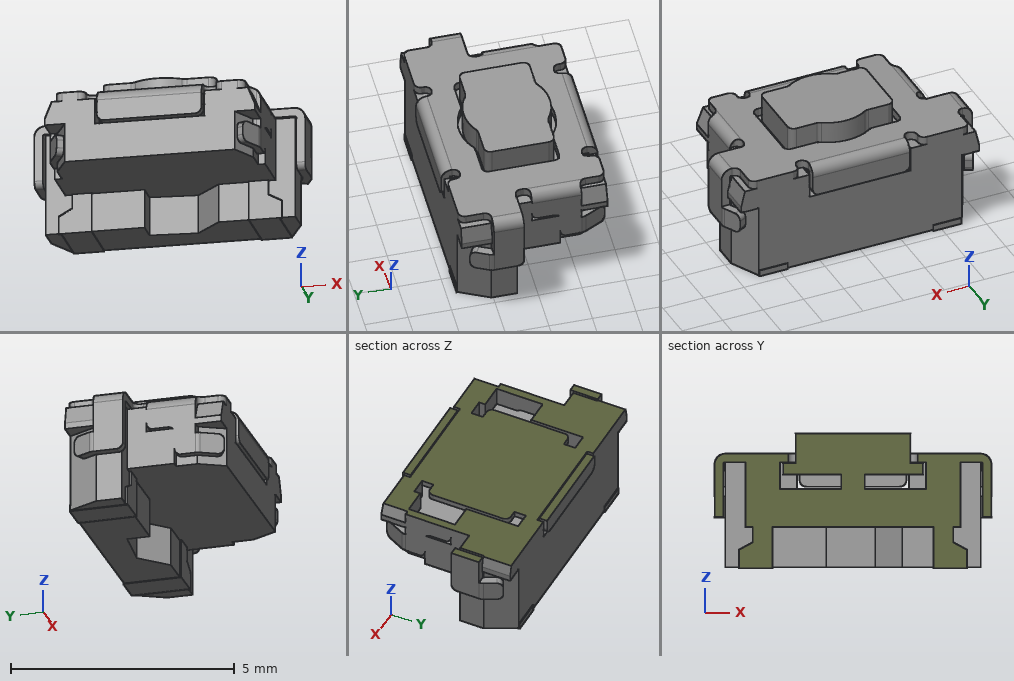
import cadquery as cq
import math


base_bottom = 0.02
body_bottom = 0.92
recess_top = 1.82
cavity_floor = 1.775
body_top = 2.37
sheet = 0.2
cover_top = body_top + sheet
button_top = 3.02
flange_bottom = 2.095
flange_top = 2.35

body_half_x = 2.405
body_half_y = 1.74
wing_half_x = 2.86
wing_front = 0.445
facet_angle = 26.5
facet_slope = math.tan(math.radians(facet_angle))

block_slope_bottom = 1.97
front_block_top_x = 2.245
rear_block_top_x = 2.85
rear_block_x = 2.945

bend_radius = 0.25
bend_inner_radius = bend_radius - sheet
corner_radius = 0.15
cover_front_x = body_half_x - bend_radius

wing_tab_x = 3.1
wing_tab_front = 0.35
wing_tab_rear = 1.04
wing_tab_bottom = 1.13
wing_root_x = wing_tab_x - bend_radius
cover_rear_x = wing_root_x - corner_radius

side_tab_front = -1.14
side_tab_rear = 0.0
leg_rear = -0.65
leg_recess_x = 2.245

overall_depth = 3.6
end_tab_y = overall_depth / 2
end_tab_half_width = 1.195
end_tab_bottom = recess_top
end_slot_half_width = 1.25

tang_top = 1.61
tang_bend_radius = 0.225
front_tang_length = 0.56
rear_tang_length = 0.445

button_half_x = 1.29
button_half_y = 0.805
button_radius = 0.99
button_blend_radius = 0.2
opening_half_x = 1.445
opening_half_y = 0.89
opening_radius = 1.105
flange_overlap = 0.125
guide_half_y = 1.595
stem_diameter = 1.0
cavity_clearance = 0.06

terminal_inner_x = 1.8
terminal_neck_x = 2.245
terminal_foot_x = 2.555
terminal_rear_x = 2.5
terminal_foot_top = 0.415
terminal_neck_bottom = 0.58
terminal_front = 0.4
terminal_rear = 1.76
terminal_lip_top = 0.155

notch_left_x = -0.595
notch_bottom_x = 0.5
notch_right_x = 1.105
notch_left_depth = 0.53
notch_right_depth = 0.62


def block(x0, x1, y0, y1, z0, z1):
    return cq.Workplane("XY").box(x1 - x0, y1 - y0, z1 - z0, centered=False).translate((x0, y0, z0))


def prism(points, z0, z1):
    return cq.Workplane("XY").workplane(offset=z0).polyline(points).close().extrude(z1 - z0)


def along_y(profile, y0, y1):
    """Extrude a closed XZ profile from y0 to y1."""
    return profile.extrude(y0 - y1).translate((0, y0, 0))


def both_sides(half):
    return half.union(half.mirror("YZ"))


def fillet_at(solid, direction, points, radius):
    """Round the edges parallel to the given axis that lie nearest to the points."""
    for point in points:
        edge = cq.selectors.NearestToPointSelector(point)
        solid = solid.edges(direction).edges(edge).fillet(radius)
    return solid


def corner_block(top_x, outer_x, y0, y1):
    profile = cq.Workplane("XZ").polyline([
        (0, recess_top),
        (outer_x, recess_top),
        (outer_x, block_slope_bottom),
        (top_x, body_top),
        (0, body_top),
    ]).close()
    return along_y(profile, y0, y1)


def half_body():
    rear_facet_x = wing_half_x - (body_half_y - wing_tab_rear) * facet_slope
    front_facet_x = leg_recess_x - (body_half_y + side_tab_front) * facet_slope
    wing = [
        (wing_half_x, wing_front),
        (wing_half_x, wing_tab_rear),
        (rear_facet_x, body_half_y),
        (0, body_half_y),
    ]
    base = prism([(0, wing_front)] + wing, base_bottom, body_bottom)
    middle = prism([
        (0, -body_half_y),
        (front_facet_x, -body_half_y),
        (leg_recess_x, side_tab_front),
        (leg_recess_x, leg_rear),
        (body_half_x, leg_rear),
        (body_half_x, wing_front),
    ] + wing, body_bottom, recess_top)
    upper = block(0, body_half_x, side_tab_front, wing_front, recess_top, body_top)
    upper_wing = block(0, wing_half_x, wing_front, wing_tab_rear, recess_top, body_top)
    front_block = corner_block(front_block_top_x, body_half_x, -body_half_y, side_tab_front)
    rear_block = corner_block(rear_block_top_x, rear_block_x, wing_tab_rear, body_half_y)
    return base.union(middle).union(upper).union(upper_wing).union(front_block).union(rear_block)


def make_body():
    body = both_sides(half_body())
    flange_x = opening_half_x + flange_overlap + cavity_clearance
    flange_y = opening_radius + flange_overlap + cavity_clearance
    pockets = [
        (flange_x, -flange_y, flange_y),
        (end_slot_half_width, -body_half_y, body_half_y),
        (body_half_x, side_tab_front, side_tab_rear),
    ]
    for half_x, y0, y1 in pockets:
        body = body.cut(block(-half_x, half_x, y0, y1, cavity_floor, body_top))
    notch = prism([
        (notch_left_x, wing_front),
        (notch_left_x, wing_front + notch_left_depth),
        (notch_bottom_x, wing_front + notch_right_depth),
        (notch_right_x, wing_front),
    ], base_bottom, body_bottom)
    return body.cut(notch)


def half_terminal():
    front = cq.Workplane("XZ").polyline([
        (terminal_inner_x, 0),
        (terminal_foot_x, 0),
        (terminal_foot_x, terminal_foot_top),
        (terminal_neck_x, terminal_neck_bottom),
        (terminal_neck_x, body_bottom),
        (terminal_inner_x, body_bottom),
    ]).close()
    sole = block(terminal_inner_x, terminal_rear_x, wing_front, body_half_y, 0, base_bottom)
    lip = block(terminal_inner_x, terminal_rear_x, body_half_y, terminal_rear, 0, terminal_lip_top)
    return along_y(front, terminal_front, wing_front).union(sole).union(lip)


def bent_tab(reach, y0, y1, bottom):
    """Strip that leaves the cover toward +X and bends down, with its outer face at X = reach."""
    root = reach - bend_radius
    inner = reach - sheet
    diagonal = math.sqrt(0.5)
    bend_z = cover_top - bend_radius
    profile = (
        cq.Workplane("XZ")
        .moveTo(root, cover_top)
        .threePointArc((root + bend_radius * diagonal, bend_z + bend_radius * diagonal), (reach, bend_z))
        .lineTo(reach, bottom)
        .lineTo(inner, bottom)
        .lineTo(inner, bend_z)
        .threePointArc(
            (root + bend_inner_radius * diagonal, bend_z + bend_inner_radius * diagonal),
            (root, body_top),
        )
        .close()
    )
    return along_y(profile, y0, y1)


def tang(outer_x, tab_edge, direction, length):
    """Finger that leaves a tab edge along Y (direction is +1 or -1) and turns inward."""
    end_face = ">Y" if direction > 0 else "<Y"
    height = tang_top - wing_tab_bottom
    angle = math.radians(facet_angle)
    pivot_x = outer_x - tang_bend_radius

    def on_bend(radius, turn):
        return (pivot_x + radius * math.cos(turn), tab_edge + direction * radius * math.sin(turn))

    inner_radius = tang_bend_radius - sheet
    bend_end = on_bend(tang_bend_radius, angle)
    bend = (
        cq.Workplane("XY")
        .workplane(offset=wing_tab_bottom)
        .moveTo(*on_bend(tang_bend_radius, 0))
        .threePointArc(on_bend(tang_bend_radius, angle / 2), bend_end)
        .lineTo(*on_bend(inner_radius, angle))
        .threePointArc(on_bend(inner_radius, angle / 2), on_bend(inner_radius, 0))
        .close()
        .extrude(height)
    )
    finger = (
        cq.Workplane("XY")
        .box(sheet, length, height)
        .faces(end_face).edges("|X").fillet(corner_radius)
        .translate((-sheet / 2, direction * length / 2, wing_tab_bottom + height / 2))
        .rotate((0, 0, 0), (0, 0, 1), direction * facet_angle)
        .translate((bend_end[0], bend_end[1], 0))
    )
    return bend.union(finger)


def wing_tab():
    tab = bent_tab(wing_tab_x, wing_tab_front, wing_tab_rear, wing_tab_bottom)
    tab = fillet_at(tab, "|X", [(wing_tab_x, wing_tab_front, wing_tab_bottom)], corner_radius)
    return tab.union(tang(wing_tab_x, wing_tab_rear, 1, rear_tang_length))


def side_tab():
    tab = bent_tab(body_half_x, side_tab_front, side_tab_rear, recess_top)
    leg = block(body_half_x - sheet, body_half_x, side_tab_front, leg_rear, wing_tab_bottom, recess_top)
    tab = fillet_at(tab.union(leg), "|X", [
        (body_half_x, side_tab_rear, recess_top),
        (body_half_x, leg_rear, recess_top),
        (body_half_x, leg_rear, wing_tab_bottom),
    ], corner_radius)
    for edge, direction in [(side_tab_front, -1), (side_tab_rear, 1)]:
        tab = tab.union(root_blend(edge, direction))
    return tab.union(tang(body_half_x, side_tab_front, -1, front_tang_length))


def root_blend(edge, direction):
    """Concave corner between the cover edge and an edge of the side tab, carried down the tab."""
    far = edge + direction * corner_radius
    y0 = min(edge, far)
    y1 = max(edge, far)
    far_x = cover_front_x + corner_radius
    strip = bent_tab(body_half_x, y0, y1, tang_top)
    corner = block(cover_front_x, far_x, y0, y1, tang_top, cover_top)
    round_cut = (
        cq.Workplane("XY")
        .workplane(offset=tang_top)
        .center(far_x, far)
        .circle(corner_radius)
        .extrude(cover_top - tang_top)
    )
    return strip.intersect(corner).cut(round_cut)


def end_tab():
    """Tab over the -Y end."""
    tab = bent_tab(end_tab_y, -end_tab_half_width, end_tab_half_width, end_tab_bottom)
    tab = tab.faces("<Z").edges("|X").fillet(corner_radius)
    return tab.rotate((0, 0, 0), (0, 0, 1), -90)


def half_cover_plate():
    end_y = end_tab_y - bend_radius
    notch_outer_x = end_tab_half_width + 2 * corner_radius
    notch_x = end_tab_half_width + corner_radius
    notch_y = end_y - corner_radius
    plate = (
        cq.Workplane("XY")
        .workplane(offset=body_top)
        .moveTo(0, end_y)
        .lineTo(end_tab_half_width, end_y)
        .threePointArc((notch_x, notch_y), (notch_outer_x, end_y))
        .lineTo(notch_outer_x, body_half_y)
        .lineTo(cover_rear_x, body_half_y)
        .lineTo(cover_rear_x, wing_tab_rear + corner_radius)
        .radiusArc((wing_root_x, wing_tab_rear), -corner_radius)
        .lineTo(wing_root_x, wing_tab_front)
        .lineTo(cover_front_x, wing_tab_front)
        .lineTo(cover_front_x, -body_half_y)
        .lineTo(notch_outer_x, -body_half_y)
        .lineTo(notch_outer_x, -end_y)
        .threePointArc((notch_x, -notch_y), (end_tab_half_width, -end_y))
        .lineTo(0, -end_y)
        .close()
        .extrude(sheet)
    )
    return fillet_at(plate, "|Z", [
        (notch_outer_x, body_half_y, body_top),
        (cover_rear_x, body_half_y, body_top),
        (cover_front_x, wing_tab_front, body_top),
        (cover_front_x, -body_half_y, body_top),
        (notch_outer_x, -body_half_y, body_top),
    ], corner_radius)


def lobed_block(half_x, half_y, radius, corner, z0, z1):
    """Rounded rectangle joined with a disc that bulges out of its long sides."""
    rectangle = block(-half_x, half_x, -half_y, half_y, z0, z1).edges("|Z").fillet(corner)
    disc = cq.Workplane("XY").workplane(offset=z0).circle(radius).extrude(z1 - z0)
    return rectangle.union(disc)


def make_cover():
    cover = both_sides(half_cover_plate().union(wing_tab()).union(side_tab()))
    front_tab = end_tab()
    cover = cover.union(front_tab).union(front_tab.mirror("XZ"))
    opening = lobed_block(
        opening_half_x, opening_half_y, opening_radius, corner_radius, body_top, cover_top
    )
    return cover.cut(opening)


def make_button():
    cap = lobed_block(
        button_half_x, button_half_y, button_radius, corner_radius, flange_top, button_top
    )
    lobe_x = math.sqrt(button_radius**2 - button_half_y**2)
    blends = [(sx * lobe_x, sy * button_half_y, flange_top) for sx in (-1, 1) for sy in (-1, 1)]
    cap = fillet_at(cap, "|Z", blends, button_blend_radius)
    flange = lobed_block(
        opening_half_x + flange_overlap,
        opening_half_y + flange_overlap,
        opening_radius + flange_overlap,
        corner_radius,
        flange_bottom,
        flange_top,
    )
    stem = (
        cq.Workplane("XY")
        .workplane(offset=cavity_floor)
        .circle(stem_diameter / 2)
        .extrude(flange_bottom - cavity_floor)
    )
    guide = block(
        -end_slot_half_width, end_slot_half_width, -guide_half_y, guide_half_y, flange_bottom, flange_top
    )
    return cap.union(flange).union(guide).union(stem)


result = make_body().union(both_sides(half_terminal())).union(make_cover()).union(make_button())